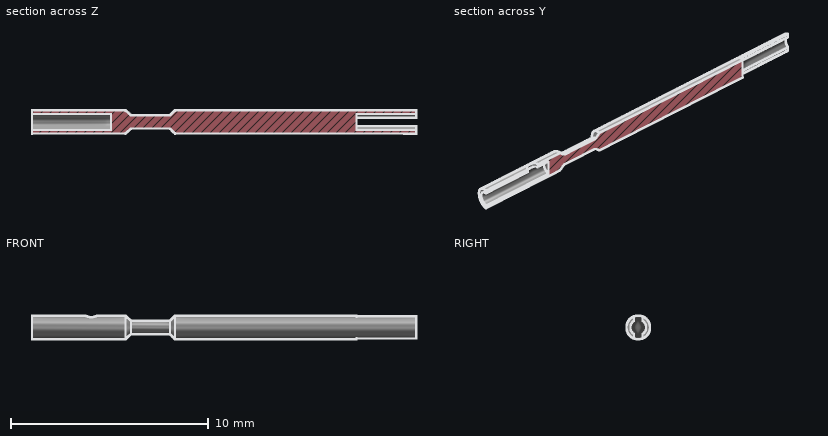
import cadquery as cq

total_length = 19.5
body_radius = 0.6
neck_radius = 0.35

waist_start = 4.74
neck_start = 5.01
neck_end = 7.0
waist_end = 7.25

bore_diameter = 0.8
bore_depth = 4.0
inspection_x = 3.0
inspection_diameter = 0.6

slot_width = 0.4
slot_length = 3.05
socket_diameter = 0.8


def turned_body():
    """Revolve the half profile about the X axis."""
    return (
        cq.Workplane("XY")
        .polyline([
            (0, 0),
            (0, body_radius),
            (waist_start, body_radius),
            (neck_start, neck_radius),
            (neck_end, neck_radius),
            (waist_end, body_radius),
            (total_length, body_radius),
            (total_length, 0),
        ])
        .close()
        .revolve(360, (0, 0, 0), (1, 0, 0))
    )


def axial_bore(start_x, length, diameter):
    """Cylinder along X."""
    return cq.Workplane("YZ", origin=(start_x, 0, 0)).circle(diameter / 2).extrude(length)


front_bore = axial_bore(0, bore_depth, bore_diameter)

inspection_hole = (
    cq.Workplane("XY", origin=(inspection_x, 0, 0))
    .circle(inspection_diameter / 2)
    .extrude(body_radius)
)

slot_start = total_length - slot_length
end_slot = cq.Workplane("XY", origin=(slot_start, 0, 0)).box(
    slot_length, slot_width, 2 * body_radius, centered=(False, True, True)
)
socket = axial_bore(slot_start, slot_length, socket_diameter)

result = turned_body().cut(front_bore).cut(inspection_hole).cut(end_slot).cut(socket)